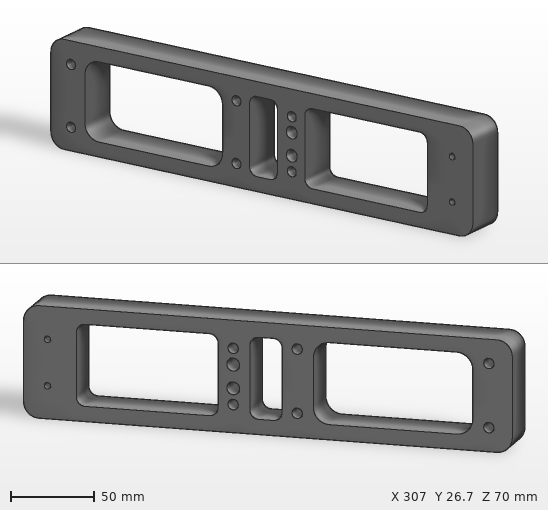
import cadquery as cq

length = 307.0
thickness = 26.7
height = 70.0
outer_radius = 9.8

rail_height = 9.5
window_height = height - 2 * rail_height
large_window_center = -78.5
large_window_length = 100.0
large_window_radius = 10.0
narrow_window_center = 1.2
narrow_window_length = 20.3
right_window_center = 75.8
right_window_length = 89.0
small_window_radius = 5.5

mount_hole_diameter = 6.5
mount_hole_spacing = 120.3
mount_hole_height = 20.0
web_hole_x = 21.8
web_outer_hole_diameter = 6.5
web_outer_hole_height = 17.5
web_inner_hole_diameter = 8.0
web_inner_hole_height = 7.5
end_hole_x = 138.5
end_hole_diameter = 4.0
end_hole_height = 14.5


def rounded_block(center_x, block_length, block_height, radius):
    """Block through the full thickness with rounded corners in the XZ plane."""
    block = cq.Workplane("XY").box(block_length, thickness, block_height)
    return block.edges("|Y").fillet(radius).translate((center_x, 0, 0))


def hole_pair(x, z, diameter):
    """Two through holes at equal heights above and below the centerline."""
    return (
        cq.Workplane("XZ")
        .pushPoints([(x, z), (x, -z)])
        .circle(diameter / 2)
        .extrude(thickness, both=True)
    )


result = rounded_block(0, length, height, outer_radius)

windows = [
    (large_window_center, large_window_length, large_window_radius),
    (narrow_window_center, narrow_window_length, small_window_radius),
    (right_window_center, right_window_length, small_window_radius),
]
for center_x, window_length, radius in windows:
    result = result.cut(rounded_block(center_x, window_length, window_height, radius))

for side in (-1, 1):
    mount_hole_x = large_window_center + side * mount_hole_spacing / 2
    result = result.cut(hole_pair(mount_hole_x, mount_hole_height, mount_hole_diameter))

result = result.cut(hole_pair(web_hole_x, web_outer_hole_height, web_outer_hole_diameter))
result = result.cut(hole_pair(web_hole_x, web_inner_hole_height, web_inner_hole_diameter))

result = result.cut(hole_pair(end_hole_x, end_hole_height, end_hole_diameter))